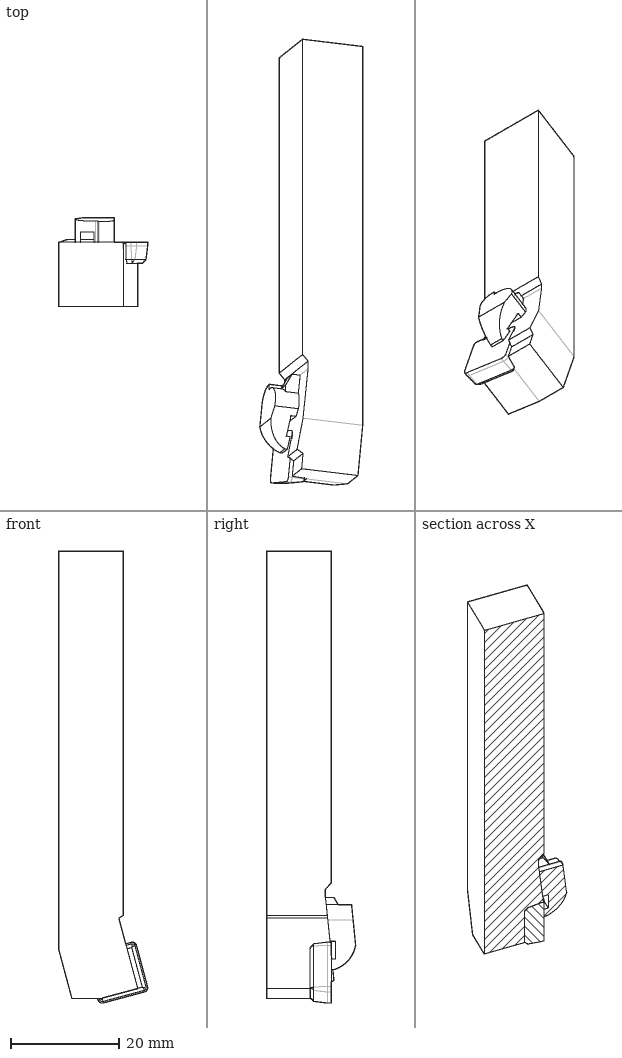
import cadquery as cq
import math

total_length = 83.35
total_width = 16.4
total_depth = 16.4
head_angle = 15.0
head_tan = math.tan(math.radians(head_angle))

shank = 11.9
toe_z = 0.8
bend_z = 9.8
side_corner_x = 14.6
side_corner_z = 2.7
neck_z = 15.7
neck_step = 0.5
gullet_top_z = 22.2
gullet_depth = 1.1
gullet_bottom_z = 21.0
ramp_top_z = 19.5
ramp_foot_z = 4.2
ramp_foot_y = 12.4
relief_z = 3.6
relief_y = 11.2

insert_size = 9.5
insert_corner = 0.8
rake_y = 11.9
lip_thickness = 0.75
flank_thickness = 2.5
flank_angle = 7.0
bevel_thickness = 0.7
bevel_angle = 45.0

clamp_left = 3.0
clamp_width = 7.25
clamp_top_z = 18.2
clamp_shoulder_z = 17.2
clamp_step_x = 7.25
head_radius = 3.75
head_wrap = 12.0
lobe_z = 15.3
clamp_back_y = 15.7
crown_z = 10.7
arm_bend_y = 15.0
arm_bend_z = 7.8
nose_z = 6.2
nose_width = 2.5
nose_heel_z = 8.2
arch_z = 11.4
arch_y = 12.7
tail_left = 4.0
tail_right = 6.5
tail_tip_z = 19.5
tail_tip_y = 12.4
tail_root_y = 13.75


def extrude_along_y(sketch, start_y, end_y):
    """Extrude an outline drawn on an XZ workplane from start_y to end_y."""
    return sketch.extrude(start_y - end_y).translate((0, start_y, 0))


def make_blank():
    """Square shank with its head bent towards +X, cut to the stepped back profile."""
    neck_x = side_corner_x - (neck_z - side_corner_z) * head_tan
    toe_left_x = (bend_z - toe_z) * head_tan
    toe_right_x = side_corner_x - (side_corner_z - toe_z) / head_tan
    outline = (
        cq.Workplane("XZ")
        .polyline([
            (0, total_length),
            (0, bend_z),
            (toe_left_x, toe_z),
            (toe_right_x, toe_z),
            (side_corner_x, side_corner_z),
            (neck_x, neck_z),
            (shank, neck_z + neck_step),
            (shank, total_length),
        ])
        .close()
    )
    gullet_y = shank - gullet_depth
    back_profile = (
        cq.Workplane("YZ")
        .polyline([
            (0, 0),
            (0, total_length),
            (shank, total_length),
            (shank, gullet_top_z),
            (gullet_y, gullet_bottom_z),
            (gullet_y, ramp_top_z),
            (ramp_foot_y, ramp_foot_z),
            (relief_y, relief_z),
            (relief_y, 0),
        ])
        .close()
        .extrude(total_width)
    )
    return extrude_along_y(outline, 0, total_depth).intersect(back_profile)


def insert_layer(size, corner, start_y, thickness, taper):
    """One layer of the insert, narrowing from start_y towards -Y."""
    straight = insert_size / 2 - insert_corner
    spread = math.cos(math.radians(head_angle)) + math.sin(math.radians(head_angle))
    reach = straight * spread + insert_corner
    outline = cq.Sketch().rect(size, size).vertices().fillet(corner)
    return (
        cq.Workplane("XZ")
        .placeSketch(outline)
        .extrude(thickness, taper=taper)
        .rotate((0, 0, 0), (0, 1, 0), -head_angle)
        .translate((total_width - reach, start_y, reach))
    )


def make_insert():
    """Positive insert: straight lip, relieved flank and bevelled underside."""
    flank_inset = flank_thickness * math.tan(math.radians(flank_angle))
    lip = insert_layer(insert_size, insert_corner, rake_y, lip_thickness, 0)
    flank_y = rake_y - lip_thickness
    flank = insert_layer(insert_size, insert_corner, flank_y, flank_thickness, flank_angle)
    bevel_y = flank_y - flank_thickness
    bevel_size = insert_size - 2 * flank_inset
    bevel_corner = insert_corner - flank_inset
    bevel = insert_layer(bevel_size, bevel_corner, bevel_y, bevel_thickness, bevel_angle)
    return lip.union(flank).union(bevel)


def make_holder(insert):
    """Bent blank with a pocket for the insert, open towards +Y."""
    pocket_top = insert_layer(insert_size, insert_corner, total_depth, total_depth - rake_y, 0)
    return make_blank().cut(insert).cut(pocket_top)


def make_clamp(holder):
    """Round-headed clamp whose arched arm presses on the insert."""
    clamp_right = clamp_left + clamp_width
    center_x = clamp_left + head_radius
    center_z = clamp_shoulder_z - head_radius
    wrap = math.radians(head_wrap)
    lobe_width = clamp_right - clamp_step_x
    lobe_height = clamp_top_z - lobe_z
    lobe_middle = (
        clamp_step_x + lobe_width * math.sqrt(0.5),
        lobe_z + lobe_height * math.sqrt(0.5),
    )
    head_middle = (
        center_x - head_radius * math.sqrt(0.5),
        center_z + head_radius * math.sqrt(0.5),
    )
    head_end = (
        center_x - head_radius * math.cos(wrap),
        center_z - head_radius * math.sin(wrap),
    )
    plan_outline = (
        cq.Workplane("XZ")
        .moveTo(clamp_right, nose_z)
        .lineTo(clamp_right, lobe_z)
        .threePointArc(lobe_middle, (clamp_step_x, clamp_top_z))
        .lineTo(clamp_step_x, clamp_shoulder_z)
        .lineTo(center_x, clamp_shoulder_z)
        .threePointArc(head_middle, head_end)
        .lineTo(clamp_right - nose_width, nose_z)
        .close()
    )
    plan = extrude_along_y(plan_outline, 0, total_depth)
    base_y = shank - gullet_depth
    side = (
        cq.Workplane("YZ")
        .moveTo(base_y, clamp_top_z)
        .lineTo(clamp_back_y, clamp_top_z)
        .lineTo(total_depth, crown_z)
        .threePointArc((arm_bend_y, arm_bend_z), (tail_tip_y, nose_z))
        .lineTo(rake_y, nose_z)
        .lineTo(rake_y, nose_heel_z)
        .lineTo(arch_y, nose_heel_z)
        .lineTo(arch_y, arch_z)
        .lineTo(base_y, arch_z)
        .close()
        .extrude(total_width)
    )
    tail = (
        cq.Workplane("YZ")
        .workplane(offset=tail_left)
        .polyline([
            (base_y, center_z),
            (base_y, tail_tip_z),
            (tail_tip_y, tail_tip_z),
            (tail_root_y, clamp_shoulder_z),
            (tail_root_y, center_z),
        ])
        .close()
        .extrude(tail_right - tail_left)
    )
    return plan.intersect(side).union(tail).cut(holder)


insert = make_insert()
holder = make_holder(insert)
clamp = make_clamp(holder)

result = cq.Compound.makeCompound([*holder.solids().vals(), *insert.solids().vals(), *clamp.solids().vals()])